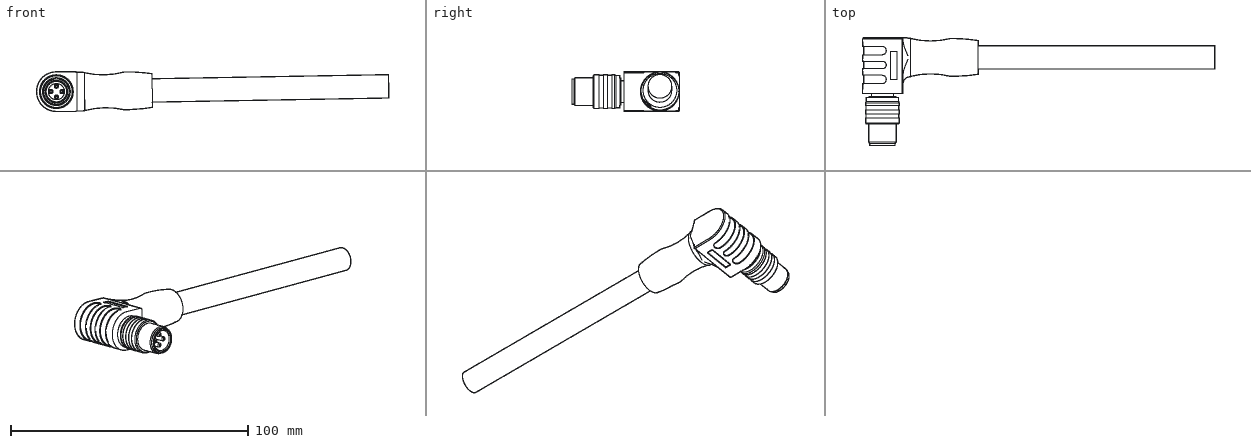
import cadquery as cq
import math


TOTAL_LENGTH = 148.5
TOTAL_WIDTH = 45.5

HEIGHT = 16.8
HOUSING_RADIUS = HEIGHT / 2
HOUSING_BACK = HOUSING_RADIUS
HOUSING_FRONT = -15.1
HOUSING_SIDE = 8.8
BACK_CHAMFER = 0.5
SIDE_CHAMFER = 0.5
HOUSING_LENGTH = HOUSING_BACK - HOUSING_FRONT
HOUSING_MIDDLE = (HOUSING_BACK + HOUSING_FRONT) / 2

RECESS_DEPTH = 0.5
GROOVE_MIDDLE = -3.1
GROOVE_PITCH = 6.1
GROOVE_WIDTHS = (3.5, 3.0, 3.5)
GROOVE_TIP = 1.6
LABEL_X = 4.8
LABEL_WIDTH = 2.7
LABEL_LENGTH = 11.9

ROOT_RADIUS = 8.2
ROOT_END = 11.9
ROOT_INSET = 0.1
ROOT_EMBED = 1.5
FLARE = 2.4

CABLE_AXIS_Y = 0.07
TILT_DEGREES = 1.0
RELIEF_RADIUS = 8.0
WAIST_RADIUS = 7.0
RELIEF_END_RADIUS = 7.1
WAIST_LENGTH = 16.8
CREST_LENGTH = 1.0
RELIEF_LENGTH = 28.5
CABLE_RADIUS = 10.0 / 2

NECK_RADIUS = 9.4 / 2
CARRIER_RADIUS = 5.3
CARRIER_START = -18.3
TIP = HOUSING_BACK - TOTAL_WIDTH
CUP_RADIUS = 4.3
CUP_CHAMFER = 0.5
CUP_DEPTH = 8.9
FLOOR_BOSS_RADIUS = 3.4
FLOOR_BOSS_HEIGHT = 0.5
PIN_RADIUS = 0.9
PIN_TIP_CHAMFER = 0.5
PIN_CIRCLE_RADIUS = 4.6 / 2
PIN_COUNT = 4
PIN_LENGTH = 7.4

NUT_BACK = -16.3
BOSS_RADIUS = 5.6
COLLAR_START = -16.8
COLLAR_RADIUS = 6.8
COLLAR_END = -18.4
GRIP_RADIUS = 7.1
GRIP_START = -19.2
GRIP_END = -28.0
GRIP_CHAMFER = 0.5
SLEEVE_RADIUS = 11.7 / 2
SLEEVE_END = -36.1
SLEEVE_CHAMFER = 0.5
NUT_GROOVE_CENTRES = (-21.1, -24.7)
NUT_GROOVE_WIDTH = 1.8
NUT_GROOVE_DEPTH = 0.1


def cylinder_along_y(radius, start, end, x=0.0, z=0.0):
    """Cylinder parallel to Y from y = start forward to the lower y = end."""
    return cq.Workplane("XZ", origin=(x, start, z)).circle(radius).extrude(start - end)


def housing_prism(radius):
    """D-shaped prism along -Y: a half round on the -X side, square on the +X side."""
    return (
        cq.Workplane("XZ", origin=(0, HOUSING_BACK, 0))
        .moveTo(0, radius)
        .lineTo(HOUSING_SIDE, radius)
        .lineTo(HOUSING_SIDE, -radius)
        .lineTo(0, -radius)
        .threePointArc((-radius, 0), (0, radius))
        .close()
        .extrude(HOUSING_LENGTH)
    )


def finger_groove(y, width):
    """Band round the -X side that runs onto both flat faces with rounded ends."""
    outer = 2 * HOUSING_RADIUS
    end_centre = GROOVE_TIP - width / 2
    footprint = (
        cq.Workplane("XY", origin=(0, 0, -outer))
        .moveTo(-outer, y - width / 2)
        .lineTo(end_centre, y - width / 2)
        .threePointArc((GROOVE_TIP, y), (end_centre, y + width / 2))
        .lineTo(-outer, y + width / 2)
        .close()
        .extrude(2 * outer)
    )
    core = housing_prism(HOUSING_RADIUS - RECESS_DEPTH)
    return footprint.cut(core)


def label_recess(side):
    """Rectangular recess in the top (side = 1) or bottom (side = -1) flat face."""
    return (
        cq.Workplane("XY")
        .box(LABEL_WIDTH, LABEL_LENGTH, 2 * RECESS_DEPTH)
        .translate((LABEL_X, HOUSING_MIDDLE, side * HOUSING_RADIUS))
    )


def make_housing():
    """Housing block with its chamfers, finger grooves and label recesses."""
    housing = housing_prism(HOUSING_RADIUS)
    housing = housing.faces(">X").edges("|Y").chamfer(SIDE_CHAMFER)
    housing = housing.faces(">Y").chamfer(BACK_CHAMFER)
    middle_index = len(GROOVE_WIDTHS) // 2
    for index, width in enumerate(GROOVE_WIDTHS):
        y = GROOVE_MIDDLE + (index - middle_index) * GROOVE_PITCH
        housing = housing.cut(finger_groove(y, width))
    for side in (1, -1):
        housing = housing.cut(label_recess(side))
    return housing


def make_root():
    """Flared root of the strain relief, kept within the height and rear face of the housing."""
    flare_radius = ROOT_RADIUS + FLARE
    flare_length = ROOT_END - HOUSING_SIDE
    diagonal = math.sqrt(0.5)
    start = HOUSING_SIDE - ROOT_EMBED
    root = (
        cq.Workplane("XY")
        .moveTo(start, 0)
        .lineTo(start, flare_radius)
        .lineTo(HOUSING_SIDE, flare_radius)
        .threePointArc(
            (ROOT_END - flare_length * diagonal, flare_radius - FLARE * diagonal),
            (ROOT_END, ROOT_RADIUS),
        )
        .lineTo(ROOT_END, 0)
        .close()
        .revolve(360, (0, 0, 0), (1, 0, 0))
    )
    limits = (
        cq.Workplane("XY")
        .box(ROOT_END, HOUSING_LENGTH, HEIGHT - 2 * ROOT_INSET, centered=(False, False, True))
        .translate((0, HOUSING_FRONT, 0))
    )
    return root.intersect(limits)


def make_cable_assembly():
    """Strain relief and cable as one turned shape on the tilted axis."""
    tilt = math.radians(TILT_DEGREES)
    cable_end_x = TOTAL_LENGTH - HOUSING_RADIUS
    cable_length = (cable_end_x - ROOT_END - CABLE_RADIUS * math.sin(tilt)) / math.cos(tilt)
    crest_end = WAIST_LENGTH + CREST_LENGTH
    taper_middle = (crest_end + RELIEF_LENGTH) / 2
    taper_drop = RELIEF_RADIUS - RELIEF_END_RADIUS
    taper_middle_radius = RELIEF_RADIUS - taper_drop / 4
    turned = (
        cq.Workplane("XY")
        .moveTo(-ROOT_EMBED, 0)
        .lineTo(-ROOT_EMBED, WAIST_RADIUS)
        .lineTo(0, WAIST_RADIUS)
        .lineTo(0, RELIEF_RADIUS)
        .threePointArc((WAIST_LENGTH / 2, WAIST_RADIUS), (WAIST_LENGTH, RELIEF_RADIUS))
        .lineTo(crest_end, RELIEF_RADIUS)
        .threePointArc((taper_middle, taper_middle_radius), (RELIEF_LENGTH, RELIEF_END_RADIUS))
        .lineTo(RELIEF_LENGTH, CABLE_RADIUS)
        .lineTo(cable_length, CABLE_RADIUS)
        .lineTo(cable_length, 0)
        .close()
        .revolve(360, (0, 0, 0), (1, 0, 0))
    )
    return turned.rotate((0, 0, 0), (0, 1, 0), -TILT_DEGREES).translate((ROOT_END, CABLE_AXIS_Y, 0))


def make_carrier():
    """Neck and contact carrier with an open cup and contact pins."""
    neck = cylinder_along_y(NECK_RADIUS, HOUSING_MIDDLE, CARRIER_START)
    carrier = cylinder_along_y(CARRIER_RADIUS, CARRIER_START, TIP)
    cup_floor = TIP + CUP_DEPTH
    carrier = carrier.cut(cylinder_along_y(CUP_RADIUS, cup_floor, TIP))
    cup_rim = cq.selectors.RadiusNthSelector(0)
    carrier = carrier.faces("<Y").edges(cup_rim).chamfer(CUP_CHAMFER)
    boss = cylinder_along_y(FLOOR_BOSS_RADIUS, CARRIER_START, cup_floor - FLOOR_BOSS_HEIGHT)
    carrier = carrier.union(neck).union(boss)
    for index in range(PIN_COUNT):
        angle = 2 * math.pi * index / PIN_COUNT
        x = PIN_CIRCLE_RADIUS * math.cos(angle)
        z = PIN_CIRCLE_RADIUS * math.sin(angle)
        pin = cylinder_along_y(PIN_RADIUS, CARRIER_START, cup_floor - PIN_LENGTH, x, z)
        carrier = carrier.union(pin.faces("<Y").chamfer(PIN_TIP_CHAMFER))
    return carrier


def make_connector():
    """Moulded connector: housing, strain relief, cable and contact carrier."""
    return make_housing().union(make_root()).union(make_cable_assembly()).union(make_carrier())


def make_nut():
    """Coupling nut: a stepped ring that surrounds the contact carrier."""
    nut = (
        cq.Workplane("XY")
        .moveTo(NECK_RADIUS, NUT_BACK)
        .lineTo(BOSS_RADIUS, NUT_BACK)
        .lineTo(BOSS_RADIUS, COLLAR_START)
        .lineTo(COLLAR_RADIUS, COLLAR_START)
        .lineTo(COLLAR_RADIUS, COLLAR_END)
        .lineTo(GRIP_RADIUS, GRIP_START)
        .lineTo(GRIP_RADIUS, GRIP_END + GRIP_CHAMFER)
        .lineTo(GRIP_RADIUS - GRIP_CHAMFER, GRIP_END)
        .lineTo(SLEEVE_RADIUS, GRIP_END)
        .lineTo(SLEEVE_RADIUS, SLEEVE_END + SLEEVE_CHAMFER)
        .lineTo(SLEEVE_RADIUS - SLEEVE_CHAMFER, SLEEVE_END)
        .lineTo(CARRIER_RADIUS, SLEEVE_END)
        .lineTo(CARRIER_RADIUS, CARRIER_START)
        .lineTo(NECK_RADIUS, CARRIER_START)
        .close()
        .revolve(360, (0, 0, 0), (0, 1, 0))
    )
    for centre in NUT_GROOVE_CENTRES:
        start = centre + NUT_GROOVE_WIDTH / 2
        end = centre - NUT_GROOVE_WIDTH / 2
        outside = cylinder_along_y(2 * GRIP_RADIUS, start, end)
        core = cylinder_along_y(GRIP_RADIUS - NUT_GROOVE_DEPTH, start, end)
        nut = nut.cut(outside.cut(core))
    return nut


connector = make_connector()
nut = make_nut()

result = cq.Compound.makeCompound([connector.val(), nut.val()])